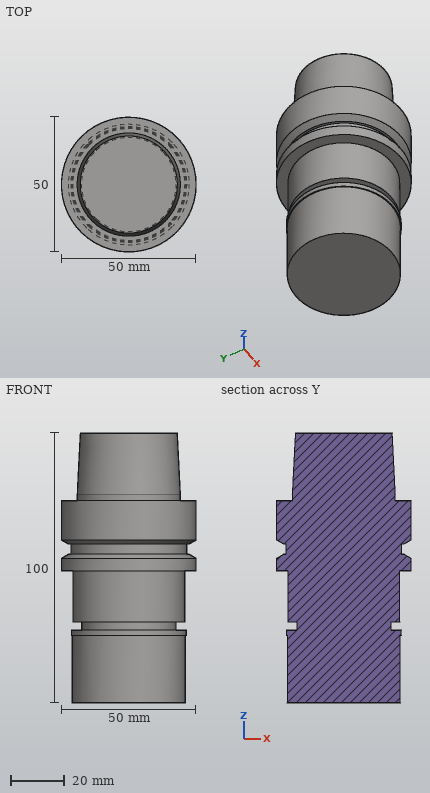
import cadquery as cq
import math


shank_height = 25.0
shank_tip_diameter = 36.0
shank_base_diameter = 38.3
shank_base_height = 2.2

flange_diameter = 50.0
flange_height = 26.0
groove_root_diameter = 43.0
groove_width = 3.75
groove_center_z = -18.0
flank_depth = 2.6
flank_angle = 30.0

upper_body_diameter = 41.5
upper_body_bottom = -45.0
neck_diameter = 35.0
collar_diameter = 42.7
collar_top = -48.0
collar_bottom = -50.0
lower_body_diameter = 42.0
body_bottom = -75.0


def revolve_about_z(outline):
    """Turn a closed (radius, z) outline into a solid of revolution."""
    return cq.Workplane("XZ").polyline(outline).close().revolve(360, (0, 0, 0), (0, 1, 0))


def cylinder(diameter, bottom, top):
    return cq.Workplane("XY").workplane(offset=bottom).circle(diameter / 2).extrude(top - bottom)


def make_shank():
    tip_radius = shank_tip_diameter / 2
    base_radius = shank_base_diameter / 2
    return revolve_about_z([
        (0, 0),
        (base_radius, 0),
        (base_radius, shank_base_height),
        (tip_radius, shank_height),
        (0, shank_height),
    ])


def make_gripper_groove():
    """Ring to be cut from the flange: a straight slot that flares at its mouth."""
    outer_radius = flange_diameter / 2
    root_radius = groove_root_diameter / 2
    flank_radius = outer_radius - flank_depth
    flank_height = flank_depth * math.tan(math.radians(flank_angle))
    groove_top = groove_center_z + groove_width / 2
    groove_bottom = groove_center_z - groove_width / 2
    return revolve_about_z([
        (root_radius, groove_top),
        (flank_radius, groove_top),
        (outer_radius, groove_top + flank_height),
        (outer_radius, groove_bottom - flank_height),
        (flank_radius, groove_bottom),
        (root_radius, groove_bottom),
    ])


def make_flange():
    return cylinder(flange_diameter, -flange_height, 0).cut(make_gripper_groove())


def make_body():
    upper_body = cylinder(upper_body_diameter, upper_body_bottom, -flange_height)
    neck = cylinder(neck_diameter, collar_top, upper_body_bottom)
    collar = cylinder(collar_diameter, collar_bottom, collar_top)
    lower_body = cylinder(lower_body_diameter, body_bottom, collar_bottom)
    return upper_body.union(neck).union(collar).union(lower_body)


result = make_shank().union(make_flange()).union(make_body())